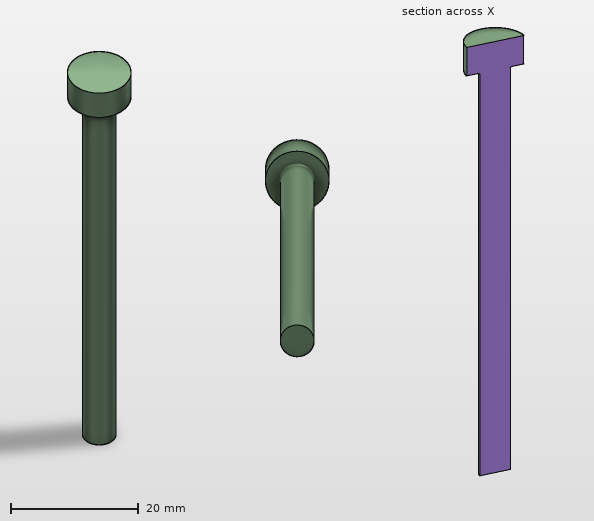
import cadquery as cq

total_length = 75.0
head_diameter = 10.0
head_height = 5.0
shank_diameter = 5.3
neck_fillet_radius = 0.3

shank_length = total_length - head_height
shank_radius = shank_diameter / 2
head_radius = head_diameter / 2

profile = (
    cq.Workplane("XZ")
    .lineTo(shank_radius, 0)
    .lineTo(shank_radius, shank_length - neck_fillet_radius)
    .radiusArc((shank_radius + neck_fillet_radius, shank_length), neck_fillet_radius)
    .lineTo(head_radius, shank_length)
    .lineTo(head_radius, total_length)
    .lineTo(0, total_length)
    .close()
)

result = profile.revolve(360, (0, 0, 0), (0, 1, 0))